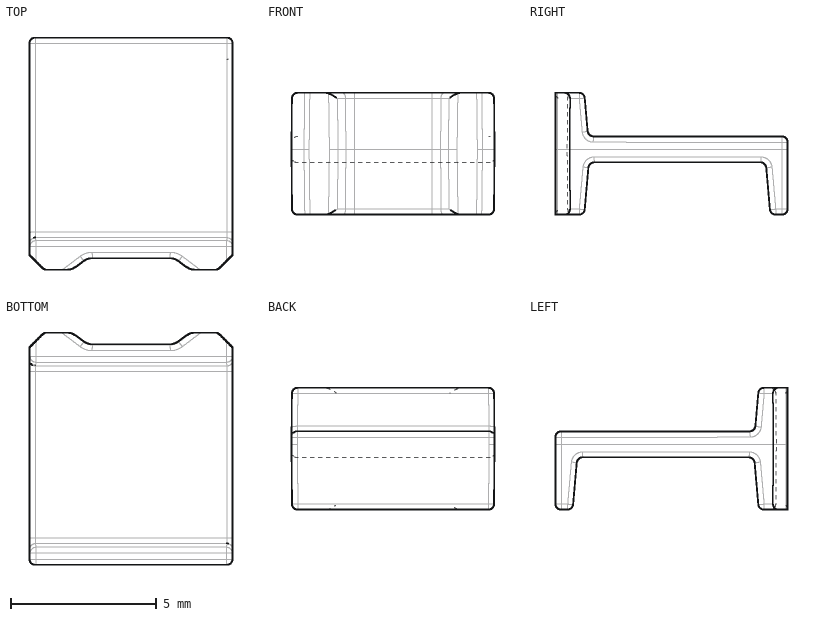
import cadquery as cq
import math

WIDTH = 7.0
LENGTH = 8.0
TOP_Z = 1.95
BOTTOM_Z = -2.25

PLATE_THICKNESS = 0.9
HEAD_END_THICKNESS = 1.0
LEG_END_THICKNESS = 0.6
WALL_DRAFT = 5.0
CORNER_RADIUS = 0.2

HEAD_CHAMFER = 0.5
RECESS_DEPTH = 0.4
RECESS_FLOOR_HALF = 1.5
RECESS_MOUTH_HALF = 2.03
RECESS_RADIUS = 0.5
CHAMFER_RADIUS = 0.25
PARTING_DRAFT = 0.5

EDGE_RADIUS = 0.2

HALF_WIDTH = WIDTH / 2
HALF_PLATE = PLATE_THICKNESS / 2
CHAMFER_HALF = HALF_WIDTH - HEAD_CHAMFER
TOLERANCE = 0.06


def draft_run(height):
    """Sideways shift of a drafted inner wall over the given height."""
    return height * math.tan(math.radians(WALL_DRAFT))


def side_profile():
    """Plate with the front head and the rear leg, as wide as the part."""
    upper_rise = TOP_Z - HALF_PLATE
    lower_rise = -HALF_PLATE - BOTTOM_Z
    leg_end_y = LENGTH - LEG_END_THICKNESS
    points = [
        (0, BOTTOM_Z),
        (HEAD_END_THICKNESS, BOTTOM_Z),
        (HEAD_END_THICKNESS + draft_run(lower_rise), -HALF_PLATE),
        (leg_end_y - draft_run(lower_rise), -HALF_PLATE),
        (leg_end_y, BOTTOM_Z),
        (LENGTH, BOTTOM_Z),
        (LENGTH, HALF_PLATE),
        (HEAD_END_THICKNESS + draft_run(upper_rise), HALF_PLATE),
        (HEAD_END_THICKNESS, TOP_Z),
        (0, TOP_Z),
    ]
    body = cq.Workplane("YZ").polyline(points).close().extrude(HALF_WIDTH, both=True)
    inner_corners = cq.selectors.BoxSelector(
        (-WIDTH, HEAD_END_THICKNESS + TOLERANCE, -HALF_PLATE - TOLERANCE),
        (WIDTH, leg_end_y - TOLERANCE, HALF_PLATE + TOLERANCE),
    )
    return body.edges("|X").edges(inner_corners).fillet(CORNER_RADIUS)


def plan_outline(inset):
    """Corners of the plan outline with its drafted faces moved in by the inset."""
    wall_angle = math.atan2(RECESS_DEPTH, RECESS_MOUTH_HALF - RECESS_FLOOR_HALF)
    floor_y = RECESS_DEPTH + inset
    mouth_x = RECESS_MOUTH_HALF + inset / math.sin(wall_angle)
    floor_x = mouth_x - floor_y / math.tan(wall_angle)
    side_x = HALF_WIDTH - inset
    chamfer_x = CHAMFER_HALF - inset * math.sqrt(2)
    right_side = [
        (floor_x, floor_y),
        (mouth_x, 0),
        (chamfer_x, 0),
        (side_x, side_x - chamfer_x),
        (side_x, LENGTH),
    ]
    left_side = [(-x, y) for x, y in reversed(right_side)]
    return right_side + left_side


def drafted_block(end_z):
    """Solid between the parting plane and the given end, leaning in toward the end."""
    inset = abs(end_z) * math.tan(math.radians(PARTING_DRAFT))
    block = cq.Workplane("XY").polyline(plan_outline(0)).close()
    block = block.workplane(offset=end_z).polyline(plan_outline(inset)).close()
    return block.loft(ruled=True)


def edges_where(body, test):
    """Edges off the parting plane whose center and extents pass the test."""
    chosen = [
        edge for edge in body.edges().vals()
        if abs(edge.BoundingBox().center.z) > TOLERANCE and test(edge.Center(), edge.BoundingBox())
    ]
    return body.newObject(chosen)


def is_side_or_back_edge(center, box):
    """Borders of the side faces behind the chamfers, and the outer edges along X."""
    if box.ymax < HEAD_CHAMFER + TOLERANCE:
        return False
    on_side = abs(center.x) > HALF_WIDTH - TOLERANCE
    along_x = box.xlen > WIDTH - 2 * TOLERANCE
    at_end = min(abs(center.z - TOP_Z), abs(center.z - BOTTOM_Z)) < TOLERANCE
    at_rear = center.y > LENGTH - TOLERANCE
    return on_side or (along_x and (at_end or at_rear))


def fillet_upright_edges(body, x, y, radius):
    """Round the mirrored pair of upright edges that stand near (x, y)."""
    def is_upright(center, box):
        near = abs(abs(center.x) - x) < TOLERANCE and abs(center.y - y) < TOLERANCE
        return near and box.zlen > HALF_PLATE
    return edges_where(body, is_upright).fillet(radius)


def is_recess_rim(center, box):
    """Edges of the recess on the top or bottom end of the head."""
    within = abs(center.x) < RECESS_MOUTH_HALF and box.ymax < RECESS_DEPTH + TOLERANCE
    return within and box.zlen < TOLERANCE and box.ymax > TOLERANCE


def half_part(end_z):
    """The part on one side of the parting plane, with its rounded edges."""
    block = drafted_block(end_z)
    block = fillet_upright_edges(block, RECESS_FLOOR_HALF, RECESS_DEPTH, RECESS_RADIUS)
    body = side_profile().intersect(block)
    body = edges_where(body, is_recess_rim).fillet(EDGE_RADIUS)
    body = edges_where(body, is_side_or_back_edge).fillet(EDGE_RADIUS)
    rounded_block = fillet_upright_edges(block, RECESS_MOUTH_HALF, 0, RECESS_RADIUS)
    rounded_block = fillet_upright_edges(rounded_block, CHAMFER_HALF, 0, CHAMFER_RADIUS)
    return body.intersect(rounded_block)


result = half_part(TOP_Z).union(half_part(BOTTOM_Z))